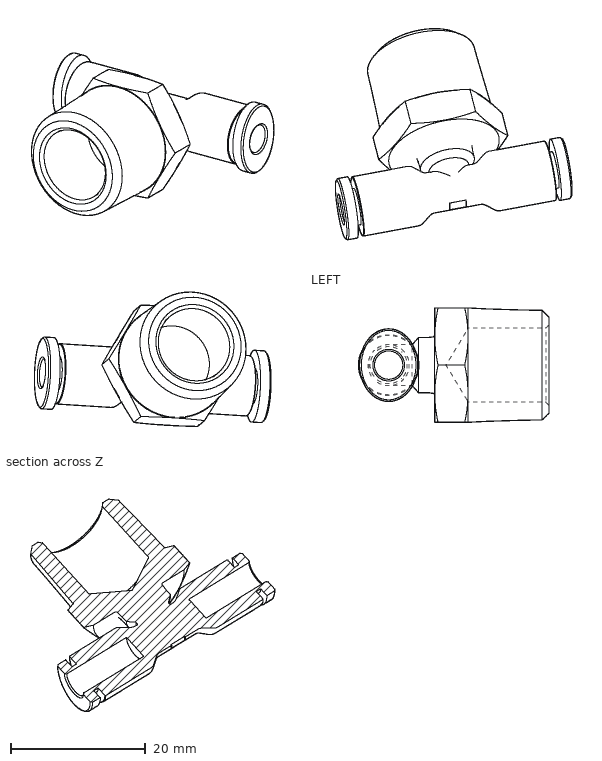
import cadquery as cq
import math


waist_radius = 3.05
barrel_radius = 4.5
waist_half_length = 3.92
shoulder_end = 5.8
shoulder_blend_radius = 1.1
barrel_end = 14.65
barrel_edge_chamfer = 0.1

flat_width = 2.5
flat_depth = 0.15

run_end = 17.1
collar_thickness = 1.7
collar_start = run_end - collar_thickness
collar_size_y = 8.6
collar_size_z = 10.8
collar_edge_chamfer = 0.25
collar_neck_radius = 2.75

socket_radius = 2.1
socket_chamfer = 0.25
socket_floor = shoulder_end

stem_flare_start = 3.48
stem_flare_end = 4.4
stem_taper_start = 5.38
hex_start = 6.8
stem_radius = 4.1
stem_base_radius = 4.2
stem_fillet_radius = 0.25

hex_across_flats = 17.0
hex_thickness = 5.0
hex_end = hex_start + hex_thickness
hex_corner_radius = hex_across_flats / math.sqrt(3)
hex_chamfer_radius = 8.4
hex_chamfer_angle = 20.0

thread_diameter_taper = 1 / 16
thread_start_radius = 8.5
branch_end = 23.8
thread_chamfer = 1.05
thread_end = branch_end - thread_chamfer
thread_end_radius = thread_start_radius - (thread_end - hex_end) * thread_diameter_taper / 2

bore_radius = 5.5
bore_chamfer = 0.5
bore_floor = hex_end
drill_point_angle = 118.0


def revolve_about_x(profile):
    """Revolve a closed profile of (x, radius) points about the X axis."""
    return cq.Workplane("XY").polyline(profile).close().revolve(360, (0, 0, 0), (1, 0, 0))


def revolve_about_branch(profile):
    """Revolve a closed profile of (radius, distance along -Y) points about the Y axis."""
    points = [(radius, -distance) for radius, distance in profile]
    return cq.Workplane("XY").polyline(points).close().revolve(360, (0, 0, 0), (0, 1, 0))


def both_ends(solid):
    """Join a +X end feature with its mirror image at -X."""
    return solid.union(solid.mirror("YZ"))


def make_run():
    """Waisted barrel with blended conical shoulders and a shallow flat at the back."""
    half_profile = [
        (waist_half_length, waist_radius),
        (shoulder_end, barrel_radius),
        (barrel_end - barrel_edge_chamfer, barrel_radius),
        (barrel_end, barrel_radius - barrel_edge_chamfer),
        (barrel_end, 0),
    ]
    mirrored_profile = [(-x, radius) for x, radius in reversed(half_profile)]
    run = revolve_about_x(mirrored_profile + half_profile)

    for corner_x in (waist_half_length, shoulder_end):
        for x in (-corner_x, corner_x):
            shoulder_edge = cq.selectors.BoxSelector(
                (x - shoulder_blend_radius / 2, -barrel_radius, -barrel_radius),
                (x + shoulder_blend_radius / 2, barrel_radius, barrel_radius),
            )
            run = run.edges("%CIRCLE").edges(shoulder_edge).fillet(shoulder_blend_radius)

    flat_cut = cq.Workplane("XY").box(flat_width, 2 * flat_depth, 2 * waist_radius)
    return run.cut(flat_cut.translate((0, waist_radius, 0)))


def make_collar():
    """Elliptical release collar and its neck at the +X port."""
    collar = (
        cq.Workplane("YZ", origin=(collar_start, 0, 0))
        .ellipse(collar_size_y / 2, collar_size_z / 2)
        .extrude(collar_thickness)
        .faces(">X").edges().chamfer(collar_edge_chamfer)
    )
    neck = (
        cq.Workplane("YZ", origin=(barrel_end, 0, 0))
        .circle(collar_neck_radius)
        .extrude(collar_start - barrel_end)
    )
    return collar.union(neck)


def make_socket():
    """Blind tube socket, chamfered at its mouth, for the +X port."""
    return revolve_about_x([
        (socket_floor, 0),
        (socket_floor, socket_radius),
        (run_end - socket_chamfer, socket_radius),
        (run_end, socket_radius + socket_chamfer),
        (run_end, 0),
    ])


def make_stem():
    """Branch stem from the run axis down to the hexagon, filleted into its top face."""
    foot_radius = stem_base_radius + stem_fillet_radius
    fillet_start = hex_start - stem_fillet_radius
    fillet_offset = stem_fillet_radius * math.sqrt(0.5)
    fillet_middle = (foot_radius - fillet_offset, -fillet_start - fillet_offset)
    return (
        cq.Workplane("XY")
        .moveTo(0, 0)
        .lineTo(waist_radius, 0)
        .lineTo(waist_radius, -stem_flare_start)
        .lineTo(stem_radius, -stem_flare_end)
        .lineTo(stem_radius, -stem_taper_start)
        .lineTo(stem_base_radius, -fillet_start)
        .threePointArc(fillet_middle, (foot_radius, -hex_start))
        .lineTo(0, -hex_start)
        .close()
        .revolve(360, (0, 0, 0), (0, 1, 0))
    )


def make_hexagon():
    """Hexagon with corners on the X axis, its corners chamfered on both faces."""
    blank = (
        cq.Workplane("XZ", origin=(0, -hex_start, 0))
        .polygon(6, 2 * hex_corner_radius)
        .extrude(hex_thickness)
    )
    chamfer_drop = (hex_corner_radius - hex_chamfer_radius) * math.tan(math.radians(hex_chamfer_angle))
    envelope = revolve_about_branch([
        (0, hex_start),
        (hex_chamfer_radius, hex_start),
        (hex_corner_radius, hex_start + chamfer_drop),
        (hex_corner_radius, hex_end - chamfer_drop),
        (hex_chamfer_radius, hex_end),
        (0, hex_end),
    ])
    return blank.intersect(envelope)


def make_thread():
    """Tapered thread body with a chamfered tip."""
    return revolve_about_branch([
        (0, hex_end),
        (thread_start_radius, hex_end),
        (thread_end_radius, thread_end),
        (thread_end_radius - thread_chamfer, branch_end),
        (0, branch_end),
    ])


def make_bore():
    """Blind branch bore with a chamfered mouth and a conical drill point."""
    point_depth = bore_radius / math.tan(math.radians(drill_point_angle / 2))
    return revolve_about_branch([
        (0, bore_floor - point_depth),
        (bore_radius, bore_floor),
        (bore_radius, branch_end - bore_chamfer),
        (bore_radius + bore_chamfer, branch_end),
        (0, branch_end),
    ])


result = (
    make_run()
    .union(make_stem())
    .union(make_hexagon())
    .union(make_thread())
    .union(both_ends(make_collar()))
    .cut(both_ends(make_socket()))
    .cut(make_bore())
)